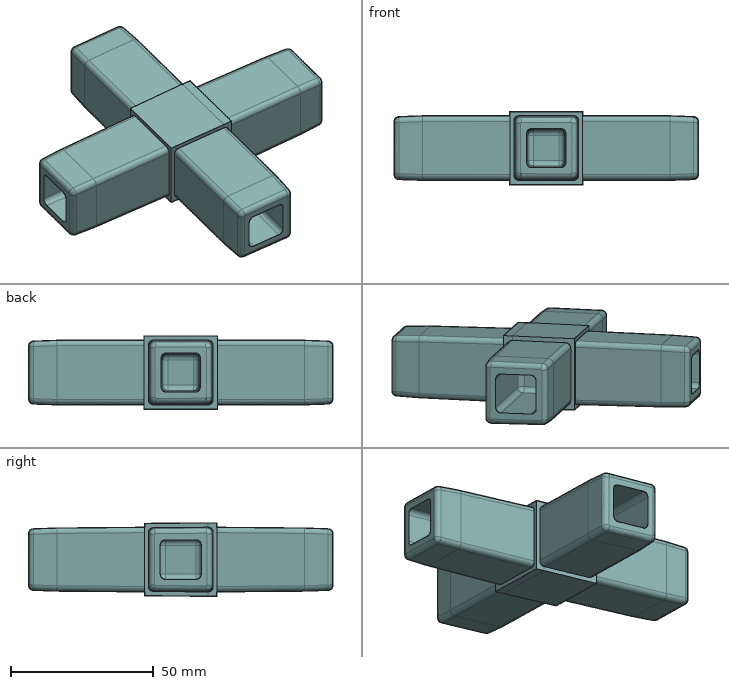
import cadquery as cq
import math

span = 106.7

block_length = 25.4
parting_width = 25.8
parting_y = 9.5
draft_angle = 0.5

arm_width = 22.7
tip_length = 10.0
tip_taper = 2.0
edge_radius = 1.9
rim_radius = 1.8

x_bore_width = 14.4
x_bore_height = 13.9
y_bore_mouth = 13.8
y_bore_taper = 0.8
bore_radius = 1.9

half_span = span / 2
block_half = block_length / 2
arm_half = arm_width / 2
shoulder = half_span - tip_length
bore_depth = half_span - block_half
draft_slope = math.tan(math.radians(draft_angle))
tip_slope = math.tan(math.radians(tip_taper))


def front_facing_plane(y):
    """Workplane at the given Y whose normal points along -Y."""
    return cq.Workplane("XZ", origin=(0, y, 0))


def central_block():
    """Block that runs straight behind the parting plane and narrows in front of it."""
    square_back = (
        front_facing_plane(block_half)
        .rect(parting_width, parting_width)
        .extrude(block_half - parting_y)
    )
    drafted_front = (
        front_facing_plane(parting_y)
        .rect(parting_width, parting_width)
        .extrude(parting_y + block_half, taper=draft_angle)
    )
    return square_back.union(drafted_front)


def arm_section(distance, half_width, front_half_height, back_half_height):
    """Rounded four-sided section across X; its height may differ between the -Y and +Y sides."""
    corners = [
        (distance, -half_width, -front_half_height),
        (distance, half_width, -back_half_height),
        (distance, half_width, back_half_height),
        (distance, -half_width, front_half_height),
    ]
    sharp = cq.Wire.makePolygon([cq.Vector(*corner) for corner in corners], close=True)
    return sharp.fillet2D(edge_radius, sharp.Vertices())


def arm(root_distance, root_halves, shoulder_halves):
    """Arm along +X: body from root to shoulder, then the steeper tip with a rounded rim."""
    end_halves = [half - tip_slope * tip_length for half in shoulder_halves]
    sections = [
        arm_section(root_distance, *root_halves),
        arm_section(shoulder, *shoulder_halves),
        arm_section(half_span, *end_halves),
    ]
    solid = cq.Workplane(cq.Solid.makeLoft(sections, True))
    return solid.faces(">X").edges().fillet(rim_radius)


def x_arm():
    """Arm along +X: constant body section, its height following the draft along Y."""
    front_half_height = arm_half - draft_slope * arm_width
    halves = [arm_half, front_half_height, arm_half]
    return arm(0, halves, halves)


def y_arm():
    """Arm along -Y: square body that narrows with the draft from the block outward."""
    shoulder_half = arm_half - draft_slope * (shoulder - block_half)
    along_x = arm(block_half, [arm_half] * 3, [shoulder_half] * 3)
    return along_x.rotate((0, 0, 0), (0, 0, 1), -90)


def x_bore():
    """Straight bore into the end of the +X arm, with a rounded floor."""
    return (
        cq.Workplane("YZ", origin=(half_span, 0, 0))
        .rect(x_bore_width, x_bore_height)
        .extrude(-bore_depth)
        .edges("|X or <X")
        .fillet(bore_radius)
    )


def y_bore():
    """Tapered bore into the end of the -Y arm, with a rounded floor."""
    return (
        cq.Workplane("ZX", origin=(0, -half_span, 0))
        .rect(y_bore_mouth, y_bore_mouth)
        .extrude(bore_depth, taper=y_bore_taper)
        .edges("not <Y")
        .fillet(bore_radius)
    )


right_arm = x_arm()
front_arm = y_arm()
right_bore = x_bore()
front_bore = y_bore()

arms = [right_arm, right_arm.mirror("YZ"), front_arm, front_arm.mirror("XZ")]
bores = [right_bore, right_bore.mirror("YZ"), front_bore, front_bore.mirror("XZ")]

result = central_block()
for each_arm in arms:
    result = result.union(each_arm)
for each_bore in bores:
    result = result.cut(each_bore)